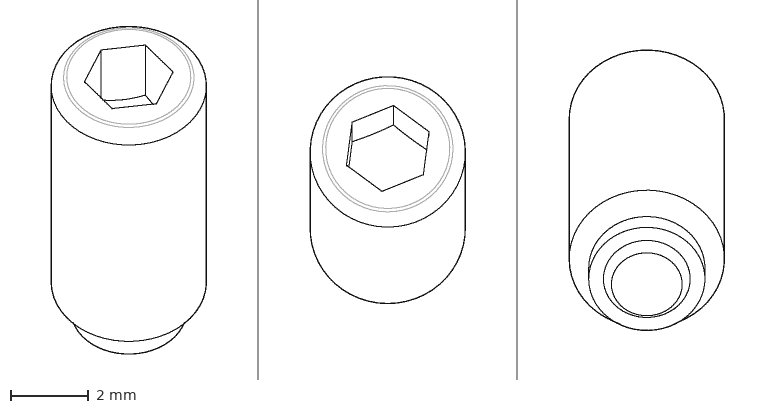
import cadquery as cq
import math

total_length = 9.6
body_diameter = 4.0
body_radius = body_diameter / 2

neck_bottom = 0.3
neck_height = 0.6
neck_radius = 1.5
neck_top = neck_bottom + neck_height
shoulder_top = neck_top + body_radius - neck_radius

top_chamfer = 0.36
top_edge_fillet = 0.12

hex_across_flats = 2.0
hex_depth = 2.0
drill_point_angle = 120.0
hex_corner_radius = hex_across_flats / 2 / math.cos(math.radians(30))
drill_cone_height = hex_corner_radius / math.tan(math.radians(drill_point_angle / 2))

ball_radius = 1.25
ball_flat_radius = 0.91
ball_center_height = math.sqrt(ball_radius**2 - ball_flat_radius**2)


def make_ball():
    """Sphere with its lowest cap removed at Z = 0."""
    cap = cq.Workplane("XY").circle(ball_radius).extrude(-ball_radius)
    sphere = cq.Workplane("XY").sphere(ball_radius)
    return sphere.translate((0, 0, ball_center_height)).cut(cap)


def make_hex_socket():
    """Hexagonal prism ending in a cone that is trimmed by the hexagon."""
    hexagon = (
        cq.Workplane("XY")
        .workplane(offset=total_length)
        .polygon(6, 2 * hex_corner_radius)
        .extrude(-hex_depth - drill_cone_height)
    )
    cone_base = total_length - hex_depth
    drill = (
        cq.Workplane("XZ")
        .moveTo(0, cone_base - drill_cone_height)
        .lineTo(hex_corner_radius, cone_base)
        .lineTo(hex_corner_radius, total_length)
        .lineTo(0, total_length)
        .close()
        .revolve(360, (0, 0, 0), (0, 1, 0))
    )
    return hexagon.intersect(drill)


def make_screw(ball):
    """Turned screw with a hexagon socket above and a fitted ball seat below."""
    blank = (
        cq.Workplane("XZ")
        .moveTo(0, neck_bottom)
        .lineTo(neck_radius, neck_bottom)
        .lineTo(neck_radius, neck_top)
        .lineTo(body_radius, shoulder_top)
        .lineTo(body_radius, total_length - top_chamfer)
        .lineTo(body_radius - top_chamfer, total_length)
        .lineTo(0, total_length)
        .close()
        .revolve(360, (0, 0, 0), (0, 1, 0))
    )
    rounded = blank.faces(">Z").edges().fillet(top_edge_fillet)
    return rounded.cut(make_hex_socket()).cut(ball)


ball = make_ball()
screw = make_screw(ball)

result = cq.Compound.makeCompound([screw.solids().val(), ball.solids().val()])